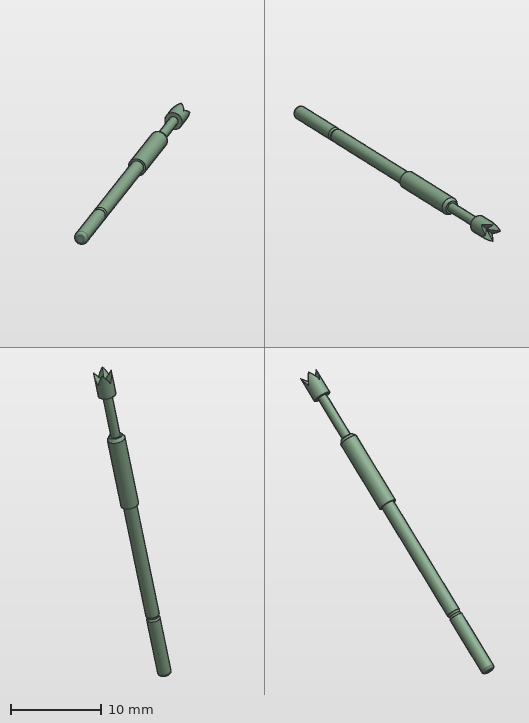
import cadquery as cq
import math

length = 39.3
head_radius = 1.002
stem_radius = 0.53
tail_radius = 0.765
crown_length = 3.0

shoulder_start = 8.35
shoulder_end = 8.72
shoulder_tip_radius = 0.75
collar_end = 17.25

end_round = 0.35

crimp_start = 31.55
crimp_width = 0.55
crimp_depth = 0.1

tooth_depth = 1.25
groove_half_width = head_radius * math.sin(math.radians(45))
groove_angles = (45, 135)


def station(distance):
    """Y coordinate at a given distance from the crown tips."""
    return length / 2 - distance


def make_body():
    """Revolve the radial half-profile about the Y axis."""
    crimp_end = crimp_start + crimp_width
    crimp_middle = crimp_start + crimp_width / 2
    diagonal = math.sin(math.radians(45))
    end_middle = (
        tail_radius - end_round * (1 - diagonal),
        station(length - end_round * (1 - diagonal)),
    )
    profile = (
        cq.Workplane("XY")
        .moveTo(0, station(0))
        .lineTo(head_radius, station(0))
        .lineTo(head_radius, station(crown_length))
        .lineTo(stem_radius, station(crown_length))
        .lineTo(stem_radius, station(shoulder_start))
        .lineTo(shoulder_tip_radius, station(shoulder_start))
        .lineTo(head_radius, station(shoulder_end))
        .lineTo(head_radius, station(collar_end))
        .lineTo(tail_radius, station(collar_end))
        .lineTo(tail_radius, station(crimp_start))
        .lineTo(tail_radius - crimp_depth, station(crimp_middle))
        .lineTo(tail_radius, station(crimp_end))
        .lineTo(tail_radius, station(length - end_round))
        .threePointArc(end_middle, (tail_radius - end_round, station(length)))
        .lineTo(0, station(length))
        .close()
    )
    return profile.revolve(360, (0, 0, 0), (0, 1, 0))


def make_crown_groove(angle):
    """V-groove across the crown, turned about the Y axis."""
    groove = (
        cq.Workplane("XY")
        .moveTo(-groove_half_width, station(0))
        .lineTo(0, station(tooth_depth))
        .lineTo(groove_half_width, station(0))
        .close()
        .extrude(2 * head_radius, both=True)
    )
    return groove.rotate((0, 0, 0), (0, 1, 0), angle)


result = make_body()
for groove_angle in groove_angles:
    result = result.cut(make_crown_groove(groove_angle))